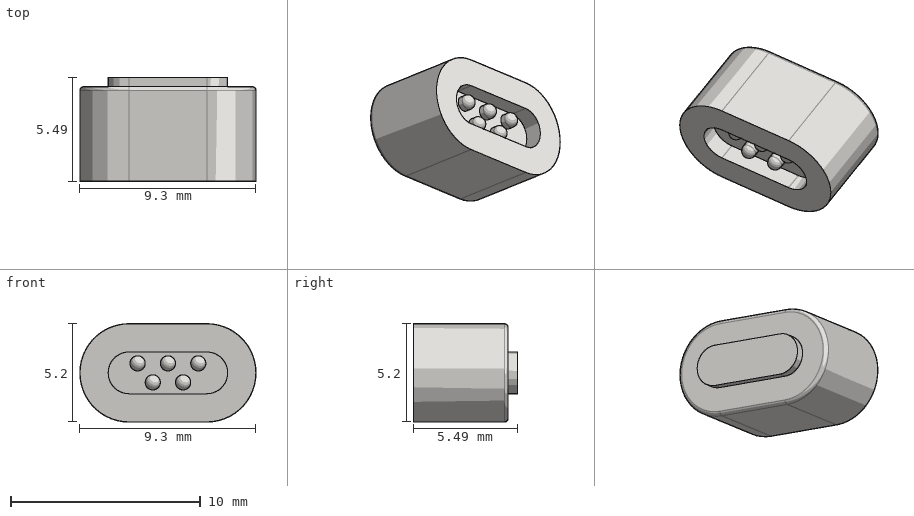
import cadquery as cq

housing_width = 9.3
housing_height = 5.2
housing_depth = 5.0
back_edge_radius = 0.2

rim_width = 1.5
slot_width = housing_width - 2 * rim_width
slot_height = housing_height - 2 * rim_width
recess_depth = 1.0
boss_length = 0.49

pin_diameter = 0.8
pin_radius = pin_diameter / 2
pin_length = 0.7
pin_pitch = 1.6
row_spacing = 1.0
upper_row_count = 3
lower_row_count = 2


def obround(width, height, start_y, length):
    """Round-ended prism with its long axis on X, extruded along +Y from start_y."""
    return (
        cq.Workplane("XZ", origin=(0, start_y, 0))
        .slot2D(width, height)
        .extrude(-length)
    )


def make_housing():
    """Obround block with a rounded back edge, a front recess and a boss on the back."""
    block = obround(housing_width, housing_height, 0, housing_depth)
    block = block.faces(">Y").edges().fillet(back_edge_radius)
    recess = obround(slot_width, slot_height, 0, recess_depth)
    boss = obround(slot_width, slot_height, housing_depth, boss_length)
    return block.union(boss).cut(recess).solids()


def make_pin(x, z):
    """Pin standing on the recess floor, its half-round tip pointing toward -Y."""
    shank_length = pin_length - pin_radius
    return (
        cq.Workplane("XY")
        .lineTo(pin_radius, 0)
        .lineTo(pin_radius, -shank_length)
        .radiusArc((0, -pin_length), pin_radius)
        .close()
        .revolve(360, (0, 0), (0, 1))
        .translate((x, recess_depth, z))
    )


def make_pin_row(count, z):
    """Evenly spaced row of separate pins, centred on X = 0."""
    first_x = -(count - 1) * pin_pitch / 2
    return [make_pin(first_x + i * pin_pitch, z) for i in range(count)]


housing = make_housing()
upper_pins = make_pin_row(upper_row_count, row_spacing / 2)
lower_pins = make_pin_row(lower_row_count, -row_spacing / 2)
pins = upper_pins + lower_pins

result = cq.Compound.makeCompound([housing.val(), *[pin.val() for pin in pins]])